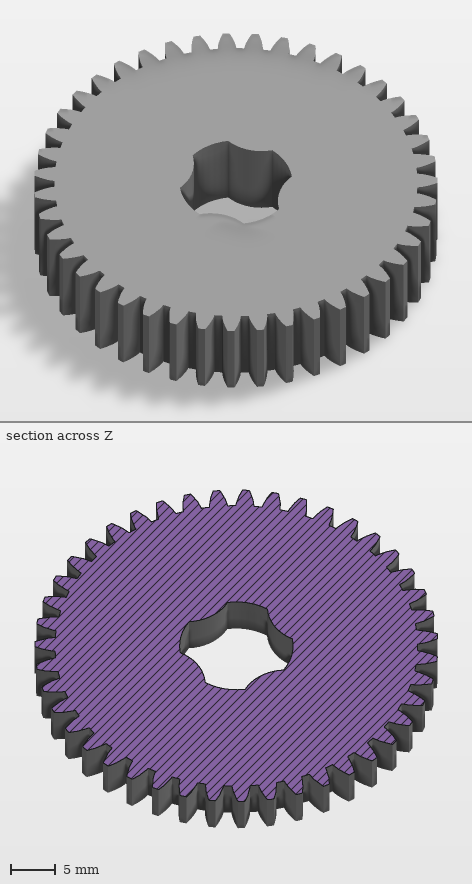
import cadquery as cq
import math

tooth_count = 43
outside_radius = 22.5
face_width = 9.35
pressure_angle = math.radians(20)
addendum_factor = 1.0
dedendum_factor = 1.25

module = outside_radius / (tooth_count / 2 + addendum_factor)
pitch_radius = module * tooth_count / 2
root_radius = pitch_radius - dedendum_factor * module
base_radius = pitch_radius * math.cos(pressure_angle)
tooth_pitch = 2 * math.pi / tooth_count
pitch_half_angle = tooth_pitch / 4
flank_samples = 6

bore_radius = 6.3
lobe_count = 4
lobe_radius = 5.17
lobe_tip_distance = 5.1


def polar(radius, angle):
    return (radius * math.cos(angle), radius * math.sin(angle))


def involute_angle(radius):
    """Polar angle turned by the involute between the base circle and a radius."""
    roll = math.acos(base_radius / radius)
    return math.tan(roll) - roll


def tooth_half_angle(radius):
    return pitch_half_angle + involute_angle(pitch_radius) - involute_angle(radius)


def gear_outline():
    """Closed gear profile with the first tooth centred on +X."""
    step = (outside_radius - root_radius) / (flank_samples - 1)
    radii = [root_radius + step * i for i in range(flank_samples)]
    root_half_angle = tooth_half_angle(root_radius)

    outline = cq.Workplane("XY").moveTo(*polar(root_radius, -root_half_angle))
    for tooth in range(tooth_count):
        centre = tooth * tooth_pitch
        rising = [polar(r, centre - tooth_half_angle(r)) for r in radii]
        falling = [polar(r, centre + tooth_half_angle(r)) for r in reversed(radii)]
        gap_middle = polar(root_radius, centre + tooth_pitch / 2)
        next_tooth = polar(root_radius, centre + tooth_pitch - root_half_angle)
        outline = outline.spline(rising[1:], includeCurrent=True)
        outline = outline.threePointArc(polar(outside_radius, centre), falling[0])
        outline = outline.spline(falling[1:], includeCurrent=True)
        outline = outline.threePointArc(gap_middle, next_tooth)
    return outline.close()


def lobed_bore():
    """Cutting body for the through bore."""
    bore = cq.Workplane("XY").circle(bore_radius).extrude(face_width)
    lobes = (
        cq.Workplane("XY")
        .polarArray(lobe_tip_distance + lobe_radius, 0, 360, lobe_count)
        .circle(lobe_radius)
        .extrude(face_width)
    )
    return bore.cut(lobes)


result = gear_outline().extrude(face_width).cut(lobed_bore())